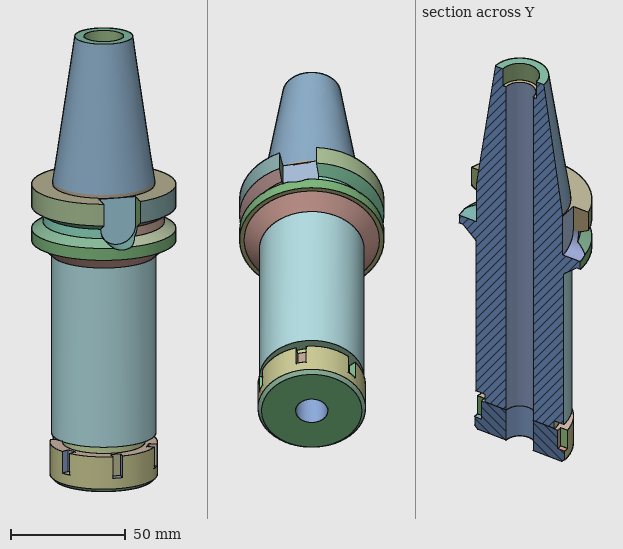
import cadquery as cq

total_height = 200.5
nut_chamfer_height = 1.6
nut_slot_floor_z = 6.5
nut_top_z = 16.2
shank_bottom_z = 20.5
cone_bottom_z = 101.8
lower_flange_bottom_z = 107.8
lower_flange_top_z = 113.2
groove_bottom_z = 116.2
groove_top_z = 120.5
upper_flange_bottom_z = 123.5
flange_face_z = 133.3
gauge_line_z = 134.7

flange_radius = 31.5
groove_radius = 26.5
shank_radius = 22.8
cone_radius = 29.5
gauge_radius = 22.2
taper_ratio = 7 / 24
taper_tip_radius = gauge_radius - (total_height - gauge_line_z) * taper_ratio / 2
neck_radius = 18.0
nut_radius = 23.5
through_radius = 7.0
counterbore_radius = 8.6
counterbore_depth = 9.0

keyway_width = 16.5
keyway_floor_x = 22.5
keyway_bottom_z = 112.2

spanner_slot_count = 6
spanner_slot_width = 4.5
spanner_slot_depth = 3.6


def revolved_holder():
    """Taper, grooved flange, shank and neck turned about the Z axis."""
    profile = [
        (0, nut_top_z),
        (neck_radius, nut_top_z),
        (neck_radius, shank_bottom_z),
        (shank_radius, shank_bottom_z),
        (shank_radius, cone_bottom_z),
        (cone_radius, lower_flange_bottom_z),
        (flange_radius, lower_flange_bottom_z),
        (flange_radius, lower_flange_top_z),
        (groove_radius, groove_bottom_z),
        (groove_radius, groove_top_z),
        (flange_radius, upper_flange_bottom_z),
        (flange_radius, flange_face_z),
        (gauge_radius, flange_face_z),
        (gauge_radius, gauge_line_z),
        (taper_tip_radius, total_height),
        (0, total_height),
    ]
    return cq.Workplane("XZ").polyline(profile).close().revolve(360, (0, 0, 0), (0, 1, 0))


def keyway_cutter(side):
    """Round-bottomed keyway, open at the flange face, on side +1 or -1 of the X axis."""
    half_width = keyway_width / 2
    arc_center_z = keyway_bottom_z + half_width
    return (
        cq.Workplane("YZ", origin=(side * keyway_floor_x, 0, 0))
        .moveTo(-half_width, flange_face_z)
        .lineTo(-half_width, arc_center_z)
        .threePointArc((0, keyway_bottom_z), (half_width, arc_center_z))
        .lineTo(half_width, flange_face_z)
        .close()
        .extrude(side * flange_radius)
    )


def make_holder():
    """Tool holder with its drive keyways and stepped axial bore."""
    holder = revolved_holder()
    for side in (-1, 1):
        holder = holder.cut(keyway_cutter(side))
    bore = cq.Workplane("XY").circle(through_radius).extrude(total_height)
    counterbore = (
        cq.Workplane("XY", origin=(0, 0, total_height - counterbore_depth))
        .circle(counterbore_radius)
        .extrude(counterbore_depth)
    )
    return holder.cut(bore).cut(counterbore)


def make_nut():
    """Clamping nut with a chamfered lower rim and spanner slots open at the top."""
    nut = cq.Workplane("XY").circle(nut_radius).extrude(nut_top_z)
    nut = nut.faces("<Z").chamfer(nut_chamfer_height)
    nut = nut.cut(cq.Workplane("XY").circle(through_radius).extrude(nut_top_z))
    slot = cq.Workplane("XY").box(
        2 * spanner_slot_depth,
        spanner_slot_width,
        nut_top_z - nut_slot_floor_z,
        centered=(True, True, False),
    ).translate((nut_radius, 0, nut_slot_floor_z))
    for index in range(spanner_slot_count):
        angle = index * 360 / spanner_slot_count
        nut = nut.cut(slot.rotate((0, 0, 0), (0, 0, 1), angle))
    return nut


holder = make_holder()
nut = make_nut()

result = cq.Compound.makeCompound([holder.val(), nut.val()])